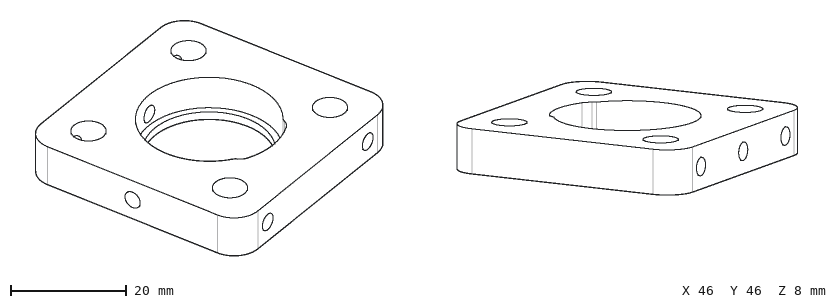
import cadquery as cq
import math

side = 46.0
thickness = 8.0
corner_radius = 5.0

bore_diameter = 23.0
pocket_radius = 12.8
lip_thickness = 1.6

relief_radius = 13.52
inner_blend_radius = 4.9 / 2
outer_blend_radius = 1.5
relief_half_angle = math.radians(25.6)

corner_hole_diameter = 6.1
corner_hole_offset = 15.0
side_hole_diameter = 3.2
blind_hole_depth = 5.5
drill_point_angle = 118.0

half_side = side / 2
mid_height = thickness / 2


def polar(radius, angle):
    return (radius * math.cos(angle), radius * math.sin(angle))


def mirrored(point):
    return (point[0], -point[1])


def make_plate():
    plate = cq.Workplane("XY").box(side, side, thickness, centered=(True, True, False))
    return plate.edges("|Z").fillet(corner_radius)


def make_pocket():
    """Round pocket whose +X relief runs into it through two tangent arcs at each end."""
    outer_center_distance = pocket_radius + outer_blend_radius
    inner_center_distance = relief_radius - inner_blend_radius
    center_gap = inner_blend_radius + outer_blend_radius
    blend_angle = math.acos(
        (outer_center_distance**2 + inner_center_distance**2 - center_gap**2)
        / (2 * outer_center_distance * inner_center_distance)
    )
    pocket_angle = relief_half_angle + blend_angle
    outer_center = polar(outer_center_distance, pocket_angle)
    inner_center = polar(inner_center_distance, relief_half_angle)

    relief_end = polar(relief_radius, relief_half_angle)
    pocket_start = polar(pocket_radius, pocket_angle)
    inner_share = inner_blend_radius / center_gap
    touch = (
        inner_center[0] + inner_share * (outer_center[0] - inner_center[0]),
        inner_center[1] + inner_share * (outer_center[1] - inner_center[1]),
    )

    touch_direction = math.atan2(touch[1] - inner_center[1], touch[0] - inner_center[0])
    inner_mid_offset = polar(inner_blend_radius, (touch_direction + relief_half_angle) / 2)
    outer_mid_offset = polar(outer_blend_radius, (touch_direction + pocket_angle) / 2)
    inner_mid = (inner_center[0] + inner_mid_offset[0], inner_center[1] + inner_mid_offset[1])
    outer_mid = (outer_center[0] - outer_mid_offset[0], outer_center[1] - outer_mid_offset[1])

    return (
        cq.Workplane("XY", origin=(0, 0, lip_thickness))
        .moveTo(*mirrored(relief_end))
        .threePointArc((relief_radius, 0), relief_end)
        .threePointArc(inner_mid, touch)
        .threePointArc(outer_mid, pocket_start)
        .threePointArc((-pocket_radius, 0), mirrored(pocket_start))
        .threePointArc(mirrored(outer_mid), mirrored(touch))
        .threePointArc(mirrored(inner_mid), mirrored(relief_end))
        .close()
        .extrude(thickness - lip_thickness)
    )


def make_bore():
    return cq.Workplane("XY").circle(bore_diameter / 2).extrude(thickness)


def make_corner_holes():
    spacing = 2 * corner_hole_offset
    return (
        cq.Workplane("XY")
        .rarray(spacing, spacing, 2, 2)
        .circle(corner_hole_diameter / 2)
        .extrude(thickness)
    )


def make_x_hole(x_sign, y, end_offset):
    """Hole from the -X or +X side, ending end_offset from the YZ plane."""
    start = cq.Vector(x_sign * half_side, y, mid_height)
    return cq.Workplane("XY").add(
        cq.Solid.makeCylinder(
            side_hole_diameter / 2, half_side - end_offset, start, cq.Vector(-x_sign, 0, 0)
        )
    )


def make_blind_hole():
    """Drilled hole with a conical end, from the middle of the -Y side."""
    radius = side_hole_diameter / 2
    point_length = radius / math.tan(math.radians(drill_point_angle / 2))
    tip = -half_side + blind_hole_depth + point_length
    return (
        cq.Workplane("XY", origin=(0, 0, mid_height))
        .moveTo(0, -half_side)
        .lineTo(radius, -half_side)
        .lineTo(radius, -half_side + blind_hole_depth)
        .lineTo(0, tip)
        .close()
        .revolve(360, (0, 0, 0), (0, 1, 0))
    )


result = make_plate().cut(make_bore()).cut(make_pocket()).cut(make_corner_holes())

for x_sign in (-1, 1):
    for y_sign in (-1, 1):
        result = result.cut(make_x_hole(x_sign, y_sign * corner_hole_offset, corner_hole_offset))

result = result.cut(make_x_hole(-1, 0, 0))

result = result.cut(make_blind_hole())